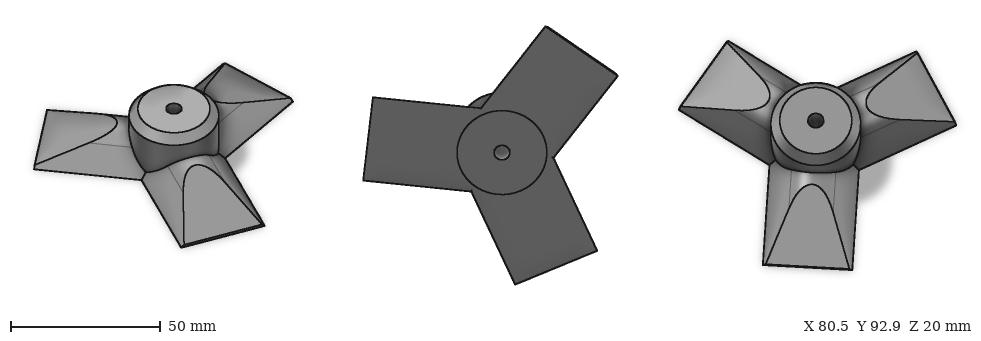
import cadquery as cq
import math

hub_diameter = 30.0
hub_height = 20.0
hub_chamfer = 3.0
shaft_hole_diameter = 5.2

arm_count = 3
arm_length = 45.0
arm_width = hub_diameter
crest_radius = 10.5
tip_height = 1.0
slope_start = 19.2

half_width = arm_width / 2
tangent_offset = crest_radius * math.sin(math.radians(45))
tangent_height = half_width - tangent_offset
crest_height = half_width - crest_radius * (math.sqrt(2) - 1)


def make_hub():
    """Cylinder with a chamfered top edge and a hole along its axis."""
    return (
        cq.Workplane("XY")
        .circle(hub_diameter / 2)
        .extrude(hub_height)
        .faces(">Z")
        .chamfer(hub_chamfer)
        .faces(">Z")
        .workplane()
        .hole(shaft_hole_diameter)
    )


def make_arm():
    """Arm along +X: a round-topped ridge limited by a slope down to the tip."""
    ridge = (
        cq.Workplane("YZ")
        .moveTo(-half_width, 0)
        .lineTo(-tangent_offset, tangent_height)
        .threePointArc((0, crest_height), (tangent_offset, tangent_height))
        .lineTo(half_width, 0)
        .close()
        .extrude(arm_length)
    )
    side_profile = (
        cq.Workplane("XZ")
        .polyline([
            (0, 0),
            (arm_length, 0),
            (arm_length, tip_height),
            (slope_start, crest_height),
            (0, crest_height),
        ])
        .close()
        .extrude(half_width, both=True)
    )
    return ridge.intersect(side_profile)


def make_spider():
    """Arms joined around the axis, with a bore that the hub fits into."""
    arm = make_arm()
    spider = arm
    for index in range(1, arm_count):
        angle = index * 360 / arm_count
        spider = spider.union(arm.rotate((0, 0, 0), (0, 0, 1), angle))
    bore = cq.Workplane("XY").circle(hub_diameter / 2).extrude(hub_height)
    return spider.cut(bore)


hub = make_hub()
spider = make_spider()

result = cq.Compound.makeCompound([hub.val(), *spider.solids().vals()])